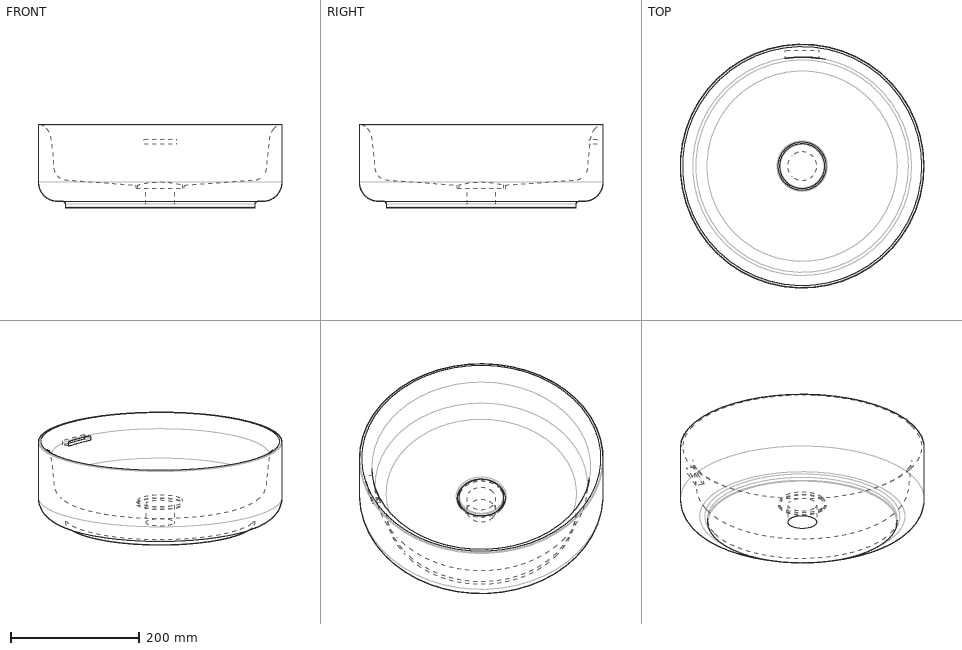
import cadquery as cq
import math

height = 130.0
outer_radius = 190.0
bottom_round = 30.0
foot_radius = 148.0
foot_height = 10.0
foot_cove = 4.0
foot_edge_round = 1.0
rim_round = 1.0

rim_inner_radius = 186.2
flare_radius = 170.4
flare_z = 108.0
wall_foot_radius = 165.5
wall_foot_z = 62.0
floor_radius = 148.3
floor_z = 43.2
floor_round = 20.0
drain_edge_z = 35.0

drain_radius = 37.5
drain_edge_round = 2.0
seat_depth = 5.0
bore_radius = 22.5

cap_radius = 35.0
cap_edge_z = 35.6
cap_edge_round = 1.0
cap_dome_rise = 4.5

slot_length = 53.0
slot_height = 7.0
slot_corner = 2.5
slot_top_gap = 1.6
slot_depth = 10.0

seat_z = drain_edge_z - seat_depth


def revolve(profile):
    return profile.close().revolve(360, (0, 0, 0), (0, 1, 0))


def make_basin_blank():
    diagonal = math.sqrt(0.5)
    round_center_radius = outer_radius - bottom_round
    round_center_z = foot_height + bottom_round
    round_middle = (
        round_center_radius + bottom_round * diagonal,
        round_center_z - bottom_round * diagonal,
    )
    return revolve(
        cq.Workplane("XZ")
        .lineTo(foot_radius - foot_edge_round, 0)
        .radiusArc((foot_radius, foot_edge_round), -foot_edge_round)
        .lineTo(foot_radius, foot_height - foot_cove)
        .radiusArc((foot_radius + foot_cove, foot_height), foot_cove)
        .lineTo(round_center_radius, foot_height)
        .threePointArc(round_middle, (outer_radius, round_center_z))
        .lineTo(outer_radius, height - rim_round)
        .radiusArc((outer_radius - rim_round, height), -rim_round)
        .lineTo(0, height)
    )


def make_bowl_cavity():
    return revolve(
        cq.Workplane("XZ")
        .moveTo(0, drain_edge_z)
        .lineTo(drain_radius, drain_edge_z)
        .lineTo(floor_radius, floor_z)
        .radiusArc((wall_foot_radius, wall_foot_z), -floor_round)
        .lineTo(flare_radius, flare_z)
        .tangentArcPoint((rim_inner_radius, height), relative=False)
        .lineTo(0, height)
    )


def make_drain_opening():
    """Stepped hole: rounded mouth, recess around the cap, bore down through the foot."""
    mouth_radius = drain_radius + drain_edge_round
    mouth_z = drain_edge_z + (floor_z - drain_edge_z) * drain_edge_round / (floor_radius - drain_radius)
    return revolve(
        cq.Workplane("XZ")
        .lineTo(bore_radius, 0)
        .lineTo(bore_radius, seat_z)
        .lineTo(drain_radius, seat_z)
        .lineTo(drain_radius, mouth_z - drain_edge_round)
        .radiusArc((mouth_radius, mouth_z), drain_edge_round)
        .lineTo(0, mouth_z)
    )


def make_overflow_slot():
    slot_center_z = flare_z - slot_top_gap - slot_height / 2
    slot_start_y = wall_foot_radius - slot_depth
    slot_end_y = flare_radius + slot_depth
    return (
        cq.Workplane("XY")
        .box(slot_length, slot_end_y - slot_start_y, slot_height)
        .edges("|Y")
        .fillet(slot_corner)
        .translate((0, (slot_start_y + slot_end_y) / 2, slot_center_z))
    )


def make_basin():
    return (
        make_basin_blank()
        .cut(make_bowl_cavity())
        .cut(make_drain_opening())
        .cut(make_overflow_slot())
    )


def make_drain_plug():
    """Domed cap standing on a stem that fills the bore."""
    dome_edge_radius = cap_radius - cap_edge_round
    dome_radius = (dome_edge_radius**2 + cap_dome_rise**2) / (2 * cap_dome_rise)
    return revolve(
        cq.Workplane("XZ")
        .lineTo(bore_radius, 0)
        .lineTo(bore_radius, seat_z)
        .lineTo(cap_radius, seat_z)
        .lineTo(cap_radius, cap_edge_z - cap_edge_round)
        .radiusArc((dome_edge_radius, cap_edge_z), -cap_edge_round)
        .radiusArc((0, cap_edge_z + cap_dome_rise), -dome_radius)
    )


basin = make_basin()
drain_plug = make_drain_plug()

result = cq.Compound.makeCompound([basin.val(), drain_plug.val()])